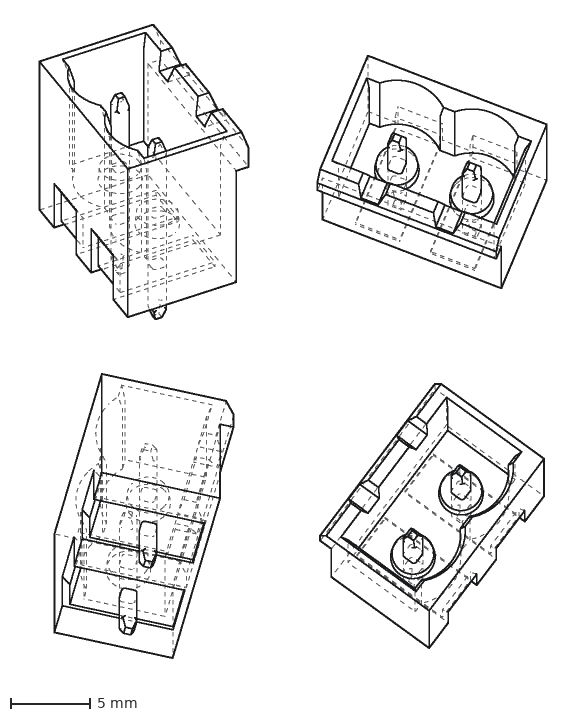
import cadquery as cq
import math


width = 12.16
body_depth = 7.7
lip_overhang = 0.87
height = 12.0
overall_height = 15.9
overall_depth = body_depth + lip_overhang
lip_height = 3.0
lip_bevel_depth = 0.5
lip_bevel_height = 1.45

pitch = 5.09
pin_y = 3.9
pin_xs = [-pitch / 2, pitch / 2]

floor_height = 3.55
side_wall = 0.8
socket_front = 1.7
socket_back = 6.98
scallop_radius = 3.0
rim_bevel = 0.3
rim_bevel_height = 1.18

notch_floor_width = 1.18
notch_top_width = 1.85
notch_depth = 1.27

collar_base_radius = 1.4
collar_top_radius = 1.32
collar_height = 1.0

pocket_width = 3.0
pocket_height = floor_height
pocket_depth = 0.5
pocket_roof_drop = 0.78
recess_height = 0.38
recess_back = body_depth - pocket_depth

pin_size = 1.0
pin_corner_radius = 0.22
pin_below = overall_height - height
pin_top = 10.32
tip_size = 0.46
tip_length = 0.95


def extruded_along_x(points, length, center_x=0.0):
    """Solid with a Y-Z outline, extruded symmetrically about center_x."""
    profile = cq.Workplane("YZ", origin=(center_x, 0, 0)).polyline(points).close()
    return profile.extrude(length / 2, both=True)


def housing_block():
    lip_bottom = height - lip_height
    outline = [
        (0, 0),
        (body_depth, 0),
        (body_depth, lip_bottom),
        (overall_depth, lip_bottom),
        (overall_depth, height - lip_bevel_height),
        (overall_depth - lip_bevel_depth, height),
        (0, height),
    ]
    return extruded_along_x(outline, width)


def socket_wire(z, offset):
    """Closed socket outline at height z, grown outward by offset."""
    half_width = width / 2 - side_wall + offset
    front = socket_front - offset
    back = socket_back + offset
    radius = scallop_radius + offset
    half_chord = math.sqrt(radius**2 - (pin_y - front) ** 2)
    outline = cq.Workplane("XY", origin=(0, 0, z)).moveTo(-half_width, back).lineTo(-half_width, front)
    for x in pin_xs:
        outline = outline.lineTo(x - half_chord, front)
        outline = outline.threePointArc((x, pin_y - radius), (x + half_chord, front))
    return outline.lineTo(half_width, front).lineTo(half_width, back).close().val()


def socket():
    cavity = cq.Workplane(
        cq.Solid.extrudeLinear(socket_wire(floor_height, 0), [], cq.Vector(0, 0, height - floor_height))
    )
    lower_rim = socket_wire(height - rim_bevel_height, 0)
    upper_rim = socket_wire(height, rim_bevel)
    return cavity.union(cq.Workplane(cq.Solid.makeLoft([lower_rim, upper_rim], True)))


def notch(x):
    floor_z = height - notch_depth
    outline = [
        (x - notch_floor_width / 2, floor_z),
        (x + notch_floor_width / 2, floor_z),
        (x + notch_top_width / 2, height),
        (x - notch_top_width / 2, height),
    ]
    profile = cq.Workplane("XZ", origin=(0, pin_y, 0)).polyline(outline).close()
    return profile.extrude(pin_y - overall_depth)


def collar(x):
    base = cq.Vector(x, pin_y, floor_height)
    return cq.Workplane(cq.Solid.makeCone(collar_base_radius, collar_top_radius, collar_height, base))


def front_pocket(x):
    outline = [
        (0, 0),
        (recess_back, 0),
        (recess_back, recess_height),
        (pocket_depth, recess_height),
        (pocket_depth, pocket_height - pocket_roof_drop),
        (0, pocket_height),
    ]
    return extruded_along_x(outline, pocket_width, x)


def pin_tip(x, base_z, end_z):
    """Square pyramid frustum narrowing from base_z to end_z."""
    base = cq.Workplane("XY", origin=(x, pin_y, base_z)).rect(pin_size, pin_size)
    return base.workplane(offset=end_z - base_z).rect(tip_size, tip_size).loft(ruled=True)


def pin(x):
    shank_length = pin_below + pin_top
    envelope = cq.Workplane("XY", origin=(x, pin_y, -pin_below + tip_length))
    envelope = envelope.rect(pin_size, pin_size).extrude(shank_length - 2 * tip_length)
    envelope = envelope.union(pin_tip(x, pin_top - tip_length, pin_top))
    envelope = envelope.union(pin_tip(x, tip_length - pin_below, -pin_below))
    rounded_bar = cq.Workplane("XY", origin=(x, pin_y, -pin_below)).rect(pin_size, pin_size)
    rounded_bar = rounded_bar.extrude(shank_length).edges("|Z").fillet(pin_corner_radius)
    return rounded_bar.intersect(envelope)


def housing_with_pin_holes(pins):
    housing = housing_block().cut(socket())
    for x in pin_xs:
        housing = housing.cut(notch(x)).cut(front_pocket(x)).union(collar(x))
    for contact in pins:
        housing = housing.cut(contact)
    return housing


contact_pins = [pin(x) for x in pin_xs]
housing = housing_with_pin_holes(contact_pins)

result = cq.Compound.makeCompound([housing.val(), *[contact.val() for contact in contact_pins]])